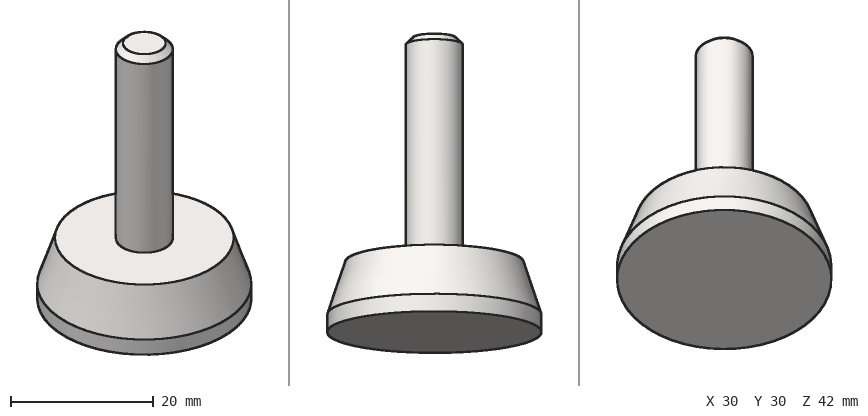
import cadquery as cq

foot_diameter = 30.0
foot_top_diameter = 25.0
foot_height = 10.0
rim_height = 2.5

stud_diameter = 8.0
overall_height = 42.0
stud_chamfer = 1.0


def make_foot():
    """Pad with a short straight rim below a tapered flank."""
    foot_radius = foot_diameter / 2
    return (
        cq.Workplane("XZ")
        .lineTo(foot_radius, 0)
        .lineTo(foot_radius, rim_height)
        .lineTo(foot_top_diameter / 2, foot_height)
        .lineTo(0, foot_height)
        .close()
        .revolve(360, (0, 0, 0), (0, 1, 0))
    )


def make_stud():
    """Plain stud standing on the foot, chamfered at its free end."""
    return (
        cq.Workplane("XY")
        .workplane(offset=foot_height)
        .circle(stud_diameter / 2)
        .extrude(overall_height - foot_height)
        .faces(">Z")
        .chamfer(stud_chamfer)
    )


result = make_foot().union(make_stud())